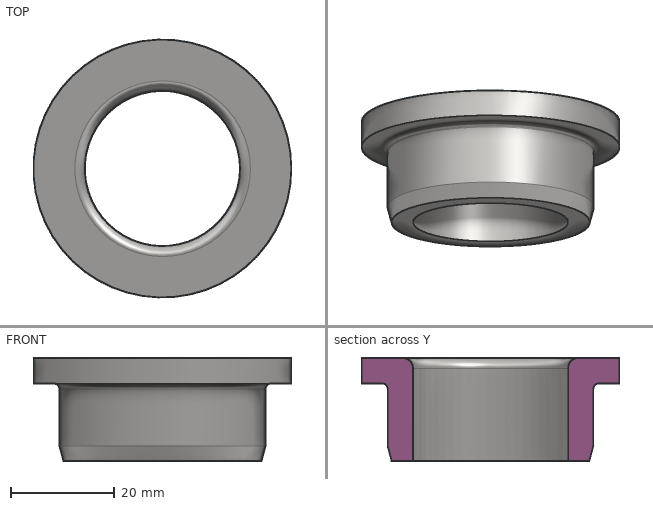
import cadquery as cq
import math

total_height = 20.0
bore_radius = 30.0 / 2
body_radius = 40.0 / 2
flange_radius = 50.0 / 2
flange_thickness = 5.0

mouth_round = 2.0
neck_fillet = 1.0
lead_in_height = 3.0
lead_in_angle = 15.0

flange_bottom = total_height - flange_thickness
lead_in_depth = lead_in_height * math.tan(math.radians(lead_in_angle))
diagonal = math.sqrt(0.5)

neck_center = (body_radius + neck_fillet, flange_bottom - neck_fillet)
neck_middle = (
    neck_center[0] - neck_fillet * diagonal,
    neck_center[1] + neck_fillet * diagonal,
)
mouth_center = (bore_radius + mouth_round, total_height - mouth_round)
mouth_middle = (
    mouth_center[0] - mouth_round * diagonal,
    mouth_center[1] + mouth_round * diagonal,
)

half_section = (
    cq.Workplane("XZ")
    .moveTo(bore_radius, 0)
    .lineTo(body_radius - lead_in_depth, 0)
    .lineTo(body_radius, lead_in_height)
    .lineTo(body_radius, neck_center[1])
    .threePointArc(neck_middle, (neck_center[0], flange_bottom))
    .lineTo(flange_radius, flange_bottom)
    .lineTo(flange_radius, total_height)
    .lineTo(mouth_center[0], total_height)
    .threePointArc(mouth_middle, (bore_radius, mouth_center[1]))
    .close()
)

result = half_section.revolve(360, (0, 0, 0), (0, 1, 0))